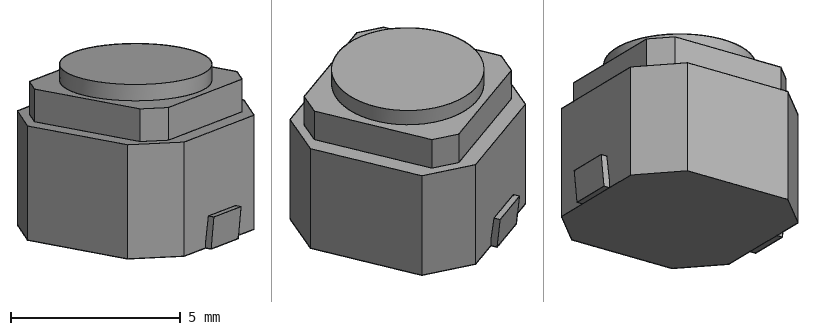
import cadquery as cq

base_width = 6.0
base_height = 3.5
base_corner_cut = 1.2
step_width = 5.0
step_height = 1.0
step_corner_cut = 0.6
button_diameter = 4.5
button_height = 0.5

terminal_width = 1.4
terminal_height = 1.0
terminal_thickness = 0.2
terminal_lean = 0.1


def cut_corner_block(width, height, corner_cut, bottom):
    """Square block, centred on Z, with its four upright edges chamfered."""
    block = cq.Workplane("XY").workplane(offset=bottom).rect(width, width).extrude(height)
    return block.edges("|Z").chamfer(corner_cut)


def make_housing():
    step_top = base_height + step_height
    base = cut_corner_block(base_width, base_height, base_corner_cut, 0)
    step = cut_corner_block(step_width, step_height, step_corner_cut, base_height)
    button = cq.Workplane("XY").workplane(offset=step_top).circle(button_diameter / 2).extrude(button_height)
    return base.union(step).union(button)


def make_terminal(side):
    """Tab on the +X wall (side = 1) or the -X wall (side = -1)."""
    wall = base_width / 2
    profile = [
        (wall, 0),
        (wall + terminal_thickness, 0),
        (wall + terminal_thickness + terminal_lean, terminal_height),
        (wall + terminal_lean, terminal_height),
        (wall, terminal_thickness),
    ]
    mirrored_profile = [(side * x, z) for x, z in profile]
    return cq.Workplane("XZ").polyline(mirrored_profile).close().extrude(terminal_width / 2, both=True)


housing = make_housing()
terminals = [make_terminal(side) for side in (-1, 1)]

result = cq.Compound.makeCompound([housing.val(), *[terminal.val() for terminal in terminals]])